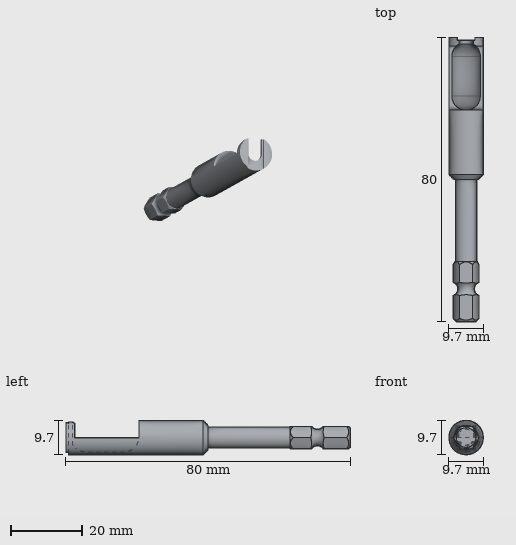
import cadquery as cq
import math

total_length = 80.0

body_radius = 4.85
neck_radius = 3.0
shoulder_end = 40.0
shoulder_chamfer = 1.4

hex_across_flats = 6.35
hex_length = 17.0
hex_corner_radius = hex_across_flats / math.sqrt(3)
hex_front_radius = 3.1
hex_front_chamfer = 0.95
hex_end_radius = 2.75
hex_end_chamfer = 1.0
groove_root_radius = 2.35
groove_center = 9.25
groove_arc_radius = 2.0

prong_thickness = 2.5
tray_end = 20.5
tray_floor_z = 0.0
pocket_radius = 4.0
pocket_front_center = 5.35
fork_slot_width = 4.1
tip_notch_width = 4.9
tip_notch_depth = 0.75

tip_y = total_length / 2
end_y = -total_length / 2
hex_front_y = end_y + hex_length
clearance = 1.0
reach = body_radius + clearance


def revolve_about_axis(profile):
    """Turn a (radius, y) half profile about the Y axis."""
    return profile.close().revolve(360, (0, 0, 0), (0, 1, 0))


def block(width, y_low, y_high, z_low, z_high):
    """Box centred on X = 0 between the given Y and Z limits."""
    return (
        cq.Workplane("XY", origin=(0, (y_low + y_high) / 2, z_low))
        .rect(width, y_high - y_low)
        .extrude(z_high - z_low)
    )


def turned_body():
    """Thick front body, chamfered shoulder and slim neck."""
    shoulder_y = tip_y - shoulder_end
    profile = (
        cq.Workplane("XY")
        .moveTo(0, tip_y)
        .lineTo(body_radius, tip_y)
        .lineTo(body_radius, shoulder_y + shoulder_chamfer)
        .lineTo(body_radius - shoulder_chamfer, shoulder_y)
        .lineTo(neck_radius, shoulder_y)
        .lineTo(neck_radius, hex_front_y)
        .lineTo(0, hex_front_y)
    )
    return revolve_about_axis(profile)


def hex_shank():
    """Hexagon with corners on +-X, turned at both ends and grooved."""
    hexagon = (
        cq.Workplane("XZ", origin=(0, hex_front_y, 0))
        .polygon(6, 2 * hex_corner_radius)
        .extrude(hex_length)
    )
    envelope = revolve_about_axis(
        cq.Workplane("XY")
        .moveTo(0, hex_front_y)
        .lineTo(hex_front_radius, hex_front_y)
        .lineTo(hex_corner_radius, hex_front_y - hex_front_chamfer)
        .lineTo(hex_corner_radius, end_y + hex_end_chamfer)
        .lineTo(hex_end_radius, end_y)
        .lineTo(0, end_y)
    )
    groove_arc_x = groove_root_radius + groove_arc_radius
    groove = (
        cq.Workplane("XY")
        .center(groove_arc_x, end_y + groove_center)
        .circle(groove_arc_radius)
        .revolve(360, (-groove_arc_x, 0, 0), (-groove_arc_x, 1, 0))
    )
    return hexagon.intersect(envelope).cut(groove)


def tray_opening():
    """Removes the upper half of the body between the prongs and the tray end."""
    return block(2 * reach, tip_y - tray_end, tip_y - prong_thickness, tray_floor_z, reach)


def pocket():
    """Round-bottomed pocket with spherical ends, open straight upward."""
    front_y = tip_y - pocket_front_center
    back_y = tip_y - tray_end + pocket_radius
    channel = (
        cq.Workplane("XZ", origin=(0, front_y, 0))
        .circle(pocket_radius)
        .extrude(front_y - back_y)
    )
    opening = block(2 * pocket_radius, back_y, front_y, tray_floor_z, reach)
    cutter = channel.union(opening)
    for center_y in (front_y, back_y):
        ball = cq.Workplane("XY", origin=(0, center_y, 0)).sphere(pocket_radius)
        shaft = (
            cq.Workplane("XY", origin=(0, center_y, tray_floor_z))
            .circle(pocket_radius)
            .extrude(reach)
        )
        cutter = cutter.union(ball).union(shaft)
    return cutter


def fork_slot():
    """U-shaped slot between the prongs, rounded about the body axis."""
    y_low = tip_y - pocket_front_center
    y_high = tip_y + clearance
    rounded_bottom = (
        cq.Workplane("XZ", origin=(0, y_high, 0))
        .circle(fork_slot_width / 2)
        .extrude(y_high - y_low)
    )
    opening = block(fork_slot_width, y_low, y_high, 0, reach)
    return rounded_bottom.union(opening)


def tip_notch():
    """Shallow wider notch across the full height of the tip face."""
    return block(tip_notch_width, tip_y - tip_notch_depth, tip_y + clearance, -reach, reach)


result = (
    turned_body()
    .cut(tray_opening())
    .cut(pocket())
    .cut(fork_slot())
    .cut(tip_notch())
    .union(hex_shank())
)